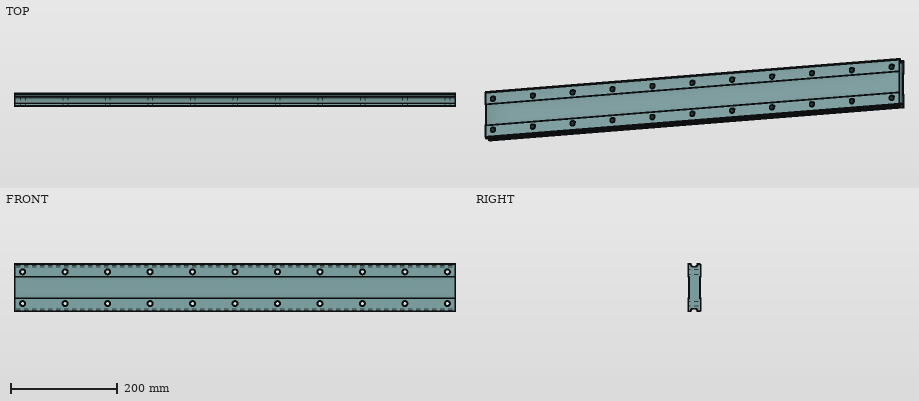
import cadquery as cq
import math

length = 830
thickness = 24.0
height = 90.0

front_lip = 5.0
groove_width = 12.5
corner_radius = 4.0
groove_depth = 5.0

rear_chamfer = 2.5

relief_height = 41.0
relief_depth = 2.0

hole_diameter = 9.0
holes_per_row = 11
end_margin = 15.0
row_spacing = 60.0
hole_pitch = (length - 2 * end_margin) / (holes_per_row - 1)

half_height = height / 2
front = -thickness / 2
rear = thickness / 2


def make_blank():
    """Rectangular bar centred on the origin, with the rear edges chamfered."""
    bar = cq.Workplane("XY").box(length, thickness, height)
    return bar.faces(">Y").edges("|X").chamfer(rear_chamfer)


def make_groove(side):
    """Cutter for the edge groove; side is +1 for the top edge, -1 for the bottom."""
    near_y = front + front_lip
    far_y = near_y + groove_width
    mouth_z = side * half_height
    arc_z = side * (half_height - groove_depth + corner_radius)
    floor_z = side * (half_height - groove_depth)
    arc_sag = corner_radius * (1 - math.sqrt(0.5))
    arc_mid_z = floor_z + side * arc_sag
    return (
        cq.Workplane("YZ")
        .moveTo(near_y, mouth_z)
        .lineTo(near_y, arc_z)
        .threePointArc((near_y + arc_sag, arc_mid_z), (near_y + corner_radius, floor_z))
        .lineTo(far_y - corner_radius, floor_z)
        .threePointArc((far_y - arc_sag, arc_mid_z), (far_y, arc_z))
        .lineTo(far_y, mouth_z)
        .close()
        .extrude(length / 2, both=True)
    )


def make_relief(face_y):
    """Cutter for the full-length relief in the face at face_y."""
    return cq.Workplane("XY").box(length, 2 * relief_depth, relief_height).translate((0, face_y, 0))


def make_holes():
    """Cutters for both rows of holes, running through the thickness."""
    return (
        cq.Workplane("XZ")
        .rarray(hole_pitch, row_spacing, holes_per_row, 2)
        .circle(hole_diameter / 2)
        .extrude(thickness, both=True)
    )


result = make_blank()
for side in (1, -1):
    result = result.cut(make_groove(side))
for face_y in (front, rear):
    result = result.cut(make_relief(face_y))
result = result.cut(make_holes())